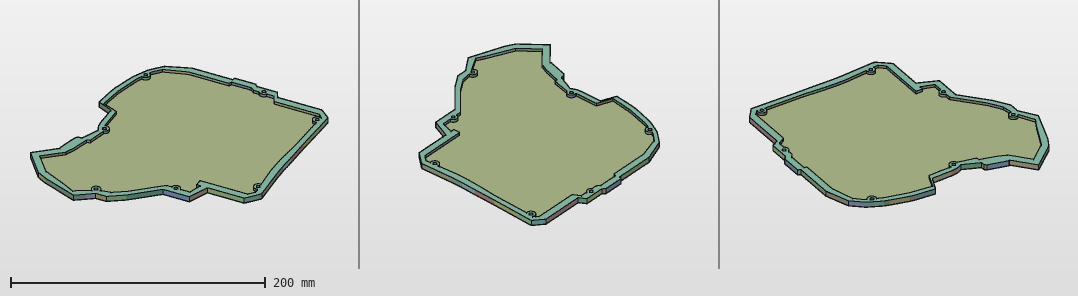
import cadquery as cq

plate_height = 5.0
pocket_depth = plate_height / 2

hole_diameter = 3.0
boss_diameter = 7.5

rim_outline = [
    (0.0, 37.2),
    (18.4, 52.6),
    (17.8, 53.2),
    (22.7, 70.8),
    (24.5, 72.5),
    (27.7, 72.5),
    (34.5, 87.5),
    (32.2, 92.5),
    (31.6, 98.0),
    (31.6, 116.5),
    (18.4, 122.2),
    (20.4, 139.2),
    (21.4, 144.8),
    (26.0, 160.2),
    (27.3, 164.8),
    (34.0, 177.8),
    (43.3, 188.0),
    (63.9, 195.5),
    (99.3, 195.5),
    (100.0, 197.8),
    (118.5, 197.8),
    (120.7, 195.5),
    (138.5, 195.5),
    (141.8, 189.3),
    (180.4, 189.3),
    (189.3, 181.8),
    (188.7, 167.1),
    (187.5, 142.0),
    (187.0, 121.0),
    (186.3, 107.4),
    (186.3, 97.3),
    (187.5, 66.9),
    (187.0, 65.7),
    (186.3, 64.9),
    (177.8, 55.2),
    (145.8, 55.2),
    (138.3, 38.0),
    (115.3, 38.0),
    (92.8, 18.4),
    (79.5, 9.9),
    (70.2, 9.9),
    (63.9, 5.5),
    (55.5, 0.0),
    (25.5, 11.3),
    (17.2, 15.8),
]

pocket_outline = [
    (22.7, 122.0),
    (25.5, 142.0),
    (30.7, 160.6),
    (31.8, 164.4),
    (38.2, 177.2),
    (44.1, 183.5),
    (63.9, 189.5),
    (99.3, 189.5),
    (100.0, 191.9),
    (117.3, 191.9),
    (120.7, 189.5),
    (138.3, 189.5),
    (141.8, 183.0),
    (181.2, 183.0),
    (184.7, 179.2),
    (184.0, 174.8),
    (182.5, 137.3),
    (180.8, 117.5),
    (180.2, 105.0),
    (180.2, 97.3),
    (182.4, 66.5),
    (177.8, 61.3),
    (136.3, 61.3),
    (136.3, 55.2),
    (139.6, 55.2),
    (135.9, 44.0),
    (115.3, 44.0),
    (91.8, 23.5),
    (80.5, 16.5),
    (70.2, 14.8),
    (52.2, 5.0),
    (44.7, 9.0),
    (22.0, 19.8),
    (8.5, 36.2),
    (25.0, 49.8),
    (25.3, 51.8),
    (27.7, 56.5),
    (32.2, 71.8),
    (35.0, 72.5),
    (39.4, 90.2),
    (36.4, 95.7),
    (36.4, 116.5),
]

screw_points = [
    (35.2, 171.3),
    (128.5, 191.5),
    (182.8, 175.8),
    (180.8, 74.2),
    (123.8, 43.7),
    (67.8, 15.5),
    (38.0, 92.0),
]


def prism(outline, height):
    """Straight-sided solid standing on the base plane."""
    return cq.Workplane("XY").polyline(outline).close().extrude(height)


def cylinders(points, diameter, height):
    """Equal upright cylinders, one at each point."""
    return cq.Workplane("XY").pushPoints(points).circle(diameter / 2).extrude(height)


def make_pocket():
    """Shallow recess from the top face, interrupted by the screw bosses."""
    recess = prism(pocket_outline, pocket_depth)
    bosses = cylinders(screw_points, boss_diameter, pocket_depth)
    return recess.cut(bosses).translate((0, 0, plate_height - pocket_depth))


plate = prism(rim_outline, plate_height)
screw_holes = cylinders(screw_points, hole_diameter, plate_height)
result = plate.cut(make_pocket()).cut(screw_holes)